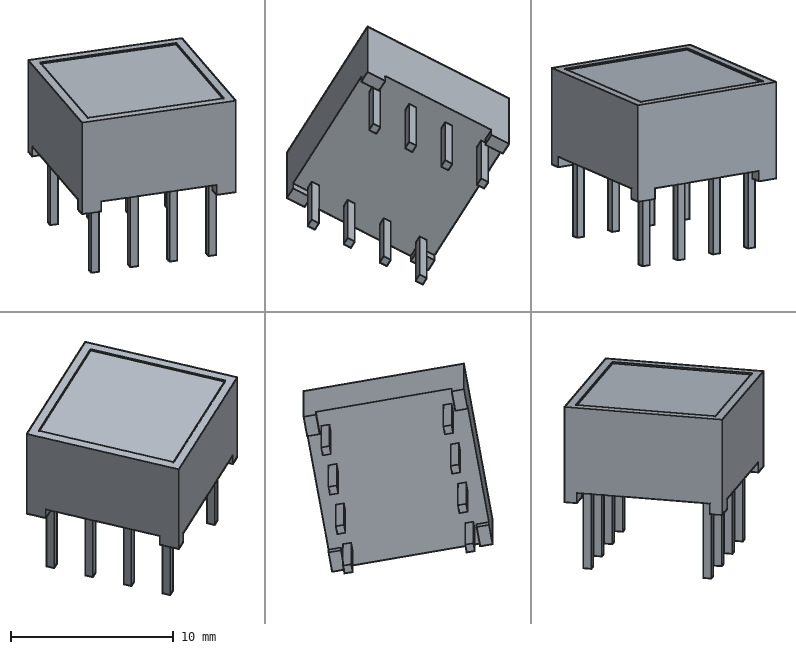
import cadquery as cq

body_side = 10.01
total_height = 10.64
body_height = 5.49

rim_width = 0.57
recess_depth = 0.11

foot_length_x = 0.78
foot_length_y = 1.26
foot_height = 0.67

pin_width = 0.51
row_spacing = 7.62
pin_pitch = 2.54
pins_per_row = 4

underside_z = total_height - body_height


def make_body():
    """Square block with a shallow recess framed by a rim."""
    block = cq.Workplane("XY").workplane(offset=underside_z).rect(body_side, body_side).extrude(body_height)
    window_side = body_side - 2 * rim_width
    return block.faces(">Z").workplane().rect(window_side, window_side).cutBlind(-recess_depth)


def make_feet():
    """One rectangular foot flush with each corner of the body."""
    spacing_x = body_side - foot_length_x
    spacing_y = body_side - foot_length_y
    return (
        cq.Workplane("XY")
        .workplane(offset=underside_z - foot_height)
        .rarray(spacing_x, spacing_y, 2, 2)
        .rect(foot_length_x, foot_length_y)
        .extrude(foot_height)
    )


def make_pins():
    """Two rows of square pins reaching up to the underside."""
    return (
        cq.Workplane("XY")
        .rarray(row_spacing, pin_pitch, 2, pins_per_row)
        .rect(pin_width, pin_width)
        .extrude(underside_z)
    )


result = make_body().union(make_feet()).union(make_pins())